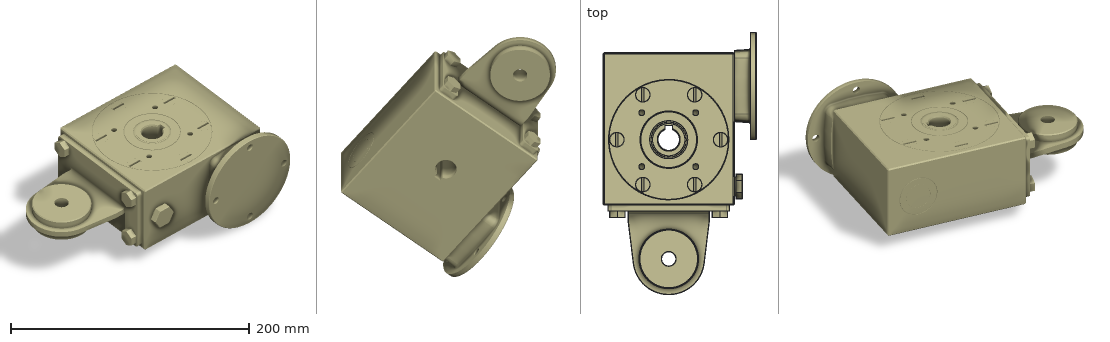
import cadquery as cq
import math


body_half_width = 55.0
body_front_y = -55.0
body_back_y = 73.0
body_height = 65.0
body_top_z = body_height / 2
body_chamfer = 1.0

cover_diameter = 101.0
cover_gap = 0.4
gap_depth = 0.5
screw_count = 6
screw_circle_radius = 43.5
screw_head_diameter = 12.0
screw_recess_diameter = 12.1
screw_slot_width = 2.0
screw_slot_depth = 2.0
tapped_count = 4
tapped_circle_radius = 32.0
tapped_start_angle = 45.0
tapped_diameter = 4.92
tapped_depth = 12.0
drill_point_angle = 118.0

seal_diameter = 48.2
seal_gap = 0.7
shaft_gap_outer = 32.0
shaft_gap_inner = 29.5
shaft_gap_depth = 0.5
shaft_rim_width = 1.2
shaft_rim_depth = 0.25
bore_diameter = 18.0
bore_mouth_width = 0.6
bore_mouth_depth = 1.4
keyway_width = 6.0
keyway_top_y = 11.8

worm_y = 45.0
end_cap_diameter = 35.0
end_cap_gap = 0.5
end_cap_inner_diameter = 22.0
end_cap_inner_gap = 0.1

flange_diameter = 90.0
flange_thickness = 5.0
flange_face_x = 73.5
flange_back_x = flange_face_x - flange_thickness
flange_chamfer = 0.5
flange_hole_count = 4
flange_hole_diameter = 6.5
flange_hole_circle_radius = 37.5

neck_side_reach = 30.05
neck_corner_center = 22.5
neck_corner_radius = 6.0
neck_draft = 4.0
neck_root_fillet = 1.4

plug_y = -39.3
plug_collar_diameter = 16.0
plug_collar_height = 1.5
plug_across_flats = 18.0
plug_head_height = 5.5
plug_chamfer = 0.5

sheet_thickness = 5.0
plate_width = 102.0
plate_height = 58.0
plate_corner_radius = 2.5
plate_face_y = body_front_y - sheet_thickness
window_width = 70.0
bend_inner_radius = 2.0
bend_outer_radius = bend_inner_radius + sheet_thickness
tongue_half_width = 34.0
tongue_taper_y = -69.0
tongue_end_radius = 30.0
eye_y = -100.0
bush_diameter = 50.0
bush_top_z = 9.6
bush_bottom_z = -10.0
bush_chamfer = 0.8
eye_hole_diameter = 12.0

bolt_spacing_x = 86.0
bolt_spacing_z = 42.0
bolt_across_flats = 13.0
bolt_head_height = 5.3

hex_sides = 6


def hex_corner_diameter(across_flats):
    return across_flats / math.cos(math.pi / hex_sides)


def ring_gap(plane, outer_diameter, width, depth):
    """Narrow ring cut below a face; the plane's normal points out of the material."""
    return (
        cq.Workplane(plane)
        .circle(outer_diameter / 2)
        .circle(outer_diameter / 2 - width)
        .extrude(-depth)
    )


def top_plane(x=0.0, y=0.0):
    return cq.Plane(origin=(x, y, body_top_z), xDir=(1, 0, 0), normal=(0, 0, 1))


def x_plane(x, y):
    """Plane facing +X: local x is +Y and local y is +Z."""
    return cq.Plane(origin=(x, y, 0), xDir=(0, 1, 0), normal=(1, 0, 0))


def front_plane(y):
    """Plane facing -Y: local x is +X and local y is +Z."""
    return cq.Plane(origin=(0, y, 0), xDir=(1, 0, 0), normal=(0, -1, 0))


def polar_points(count, radius, start_angle=0.0):
    points = []
    for index in range(count):
        angle = math.radians(start_angle) + 2 * math.pi * index / count
        points.append((radius * math.cos(angle), radius * math.sin(angle)))
    return points


def make_body():
    length = body_back_y - body_front_y
    middle_y = (body_back_y + body_front_y) / 2
    block = cq.Workplane("XY").box(2 * body_half_width, length, body_height)
    return block.edges().chamfer(body_chamfer).translate((0, middle_y, 0))


def cut_cover_details(part):
    part = part.cut(ring_gap(top_plane(), cover_diameter, cover_gap, gap_depth))
    recess_gap = (screw_recess_diameter - screw_head_diameter) / 2
    for x, y in polar_points(screw_count, screw_circle_radius):
        part = part.cut(ring_gap(top_plane(x, y), screw_recess_diameter, recess_gap, gap_depth))
        head = cq.Workplane(top_plane(x, y)).circle(screw_head_diameter / 2).extrude(-screw_slot_depth)
        slot = (
            cq.Workplane(top_plane(x, y))
            .rect(screw_slot_width, screw_head_diameter)
            .extrude(-screw_slot_depth)
        )
        part = part.cut(slot.intersect(head))

    hole_radius = tapped_diameter / 2
    point_length = hole_radius / math.tan(math.radians(drill_point_angle / 2))
    hole = (
        cq.Workplane("XZ")
        .polyline([
            (0, 0),
            (hole_radius, 0),
            (hole_radius, -tapped_depth),
            (0, -tapped_depth - point_length),
        ])
        .close()
        .revolve(360, (0, 0, 0), (0, 1, 0))
    )
    for x, y in polar_points(tapped_count, tapped_circle_radius, tapped_start_angle):
        part = part.cut(hole.translate((x, y, body_top_z)))
    return part


def cut_output_shaft(part):
    shaft_gap = (shaft_gap_outer - shaft_gap_inner) / 2
    part = part.cut(ring_gap(top_plane(), seal_diameter, seal_gap, gap_depth))
    part = part.cut(ring_gap(top_plane(), shaft_gap_outer, shaft_gap, shaft_gap_depth))
    part = part.cut(ring_gap(top_plane(), shaft_gap_inner, shaft_rim_width, shaft_rim_depth))
    bore = cq.Workplane(top_plane()).circle(bore_diameter / 2).extrude(-body_height)
    mouth_angle = math.degrees(math.atan2(bore_mouth_width, bore_mouth_depth))
    mouth = (
        cq.Workplane(top_plane())
        .circle(bore_diameter / 2 + bore_mouth_width)
        .extrude(-bore_mouth_depth, taper=mouth_angle)
    )
    keyway = (
        cq.Workplane(top_plane(0, keyway_top_y / 2))
        .rect(keyway_width, keyway_top_y)
        .extrude(-body_height)
    )
    return part.cut(bore).cut(mouth).cut(keyway)


def cut_end_cap(part):
    face = cq.Plane(origin=(-body_half_width, worm_y, 0), xDir=(0, -1, 0), normal=(-1, 0, 0))
    part = part.cut(ring_gap(face, end_cap_diameter, end_cap_gap, gap_depth))
    return part.cut(ring_gap(face, end_cap_inner_diameter, end_cap_inner_gap, gap_depth))


def make_neck():
    """Drafted neck; offsetting a sharp bulged square rounds its corners tangentially."""
    core_side = neck_side_reach - neck_corner_radius
    corner = neck_corner_center
    return (
        cq.Workplane(x_plane(body_half_width, worm_y))
        .moveTo(-corner, -corner)
        .threePointArc((0, -core_side), (corner, -corner))
        .threePointArc((core_side, 0), (corner, corner))
        .threePointArc((0, core_side), (-corner, corner))
        .threePointArc((-core_side, 0), (-corner, -corner))
        .close()
        .offset2D(neck_corner_radius)
        .extrude(flange_back_x - body_half_width, taper=-neck_draft)
    )


def make_motor_flange():
    disc = (
        cq.Workplane(x_plane(flange_back_x, worm_y))
        .circle(flange_diameter / 2)
        .extrude(flange_thickness)
        .faces(">X")
        .edges()
        .chamfer(flange_chamfer)
    )
    flange = disc.union(make_neck())
    root_edges = cq.selectors.BoxSelector(
        (flange_back_x - neck_root_fillet, worm_y - flange_hole_circle_radius, -flange_hole_circle_radius),
        (flange_back_x + neck_root_fillet, worm_y + flange_hole_circle_radius, flange_hole_circle_radius),
        boundingbox=True,
    )
    flange = flange.edges(root_edges).fillet(neck_root_fillet)
    holes = (
        cq.Workplane(x_plane(flange_back_x, worm_y))
        .pushPoints(polar_points(flange_hole_count, flange_hole_circle_radius))
        .circle(flange_hole_diameter / 2)
        .extrude(flange_thickness)
    )
    return flange.cut(holes)


def make_oil_plug():
    collar = (
        cq.Workplane(x_plane(body_half_width, plug_y))
        .circle(plug_collar_diameter / 2)
        .extrude(plug_collar_height)
    )
    head = (
        cq.Workplane(x_plane(body_half_width + plug_collar_height, plug_y))
        .polygon(hex_sides, hex_corner_diameter(plug_across_flats))
        .extrude(plug_head_height)
        .faces(">X")
        .edges()
        .chamfer(plug_chamfer)
    )
    return collar.union(head)


def make_mounting_plate():
    plate = cq.Workplane(front_plane(body_front_y)).rect(plate_width, plate_height).extrude(sheet_thickness)
    window_top_z = sheet_thickness / 2 + bend_inner_radius
    window_height = window_top_z + plate_height / 2
    window = (
        cq.Workplane(front_plane(body_front_y))
        .center(0, window_top_z - window_height / 2)
        .rect(window_width, window_height)
        .extrude(sheet_thickness)
    )
    return plate.cut(window).edges("|Y").edges("<Z or >Z").fillet(plate_corner_radius)


def make_tongue():
    """Tongue bent out of the plate, widest at the bend and rounded about the eye."""
    half_sheet = sheet_thickness / 2
    bend_top_z = half_sheet + bend_inner_radius
    bend_end_y = body_front_y - bend_outer_radius
    end_y = eye_y - tongue_end_radius
    diagonal = math.sqrt(0.5)
    side_profile = (
        cq.Workplane("YZ")
        .moveTo(body_front_y, bend_top_z)
        .threePointArc(
            (bend_end_y + bend_outer_radius * diagonal, bend_top_z - bend_outer_radius * diagonal),
            (bend_end_y, -half_sheet),
        )
        .lineTo(end_y, -half_sheet)
        .lineTo(end_y, half_sheet)
        .lineTo(bend_end_y, half_sheet)
        .threePointArc(
            (bend_end_y + bend_inner_radius * diagonal, bend_top_z - bend_inner_radius * diagonal),
            (plate_face_y, bend_top_z),
        )
        .close()
        .extrude(tongue_half_width, both=True)
    )

    taper_length = tongue_taper_y - eye_y
    corner_distance = math.hypot(tongue_half_width, taper_length)
    corner_angle = math.atan2(taper_length, tongue_half_width)
    tangent_angle = corner_angle - math.acos(tongue_end_radius / corner_distance)
    tangent_x = tongue_end_radius * math.cos(tangent_angle)
    tangent_y = eye_y + tongue_end_radius * math.sin(tangent_angle)
    outline = (
        cq.Workplane("XY")
        .moveTo(-tongue_half_width, body_front_y)
        .lineTo(-tongue_half_width, tongue_taper_y)
        .lineTo(-tangent_x, tangent_y)
        .threePointArc((0, end_y), (tangent_x, tangent_y))
        .lineTo(tongue_half_width, tongue_taper_y)
        .lineTo(tongue_half_width, body_front_y)
        .close()
        .extrude(bend_outer_radius, both=True)
    )
    return side_profile.intersect(outline)


def make_bush_disc(base_z, top_z):
    return (
        cq.Workplane("XY", origin=(0, eye_y, base_z))
        .circle(bush_diameter / 2)
        .extrude(top_z - base_z)
        .faces(">Z")
        .edges()
        .chamfer(bush_chamfer)
    )


def make_torque_arm():
    arm = make_mounting_plate().union(make_tongue())
    arm = arm.union(make_bush_disc(sheet_thickness / 2, bush_top_z))
    arm = arm.union(make_bush_disc(bush_bottom_z, -sheet_thickness / 2))
    hole = (
        cq.Workplane("XY", origin=(0, eye_y, bush_bottom_z))
        .circle(eye_hole_diameter / 2)
        .extrude(bush_top_z - bush_bottom_z)
    )
    return arm.cut(hole)


def make_bolt_heads():
    heads = cq.Workplane("XY")
    for side_x in (-1, 1):
        for side_z in (-1, 1):
            head = (
                cq.Workplane("XZ")
                .polygon(hex_sides, hex_corner_diameter(bolt_across_flats))
                .extrude(bolt_head_height)
                .rotate((0, 0, 0), (0, 1, 0), 90)
                .translate((side_x * bolt_spacing_x / 2, plate_face_y, side_z * bolt_spacing_z / 2))
            )
            heads = heads.add(head)
    return heads


body = make_body()
body = cut_cover_details(body)
body = cut_output_shaft(body)
body = cut_end_cap(body)

result = (
    body.union(make_motor_flange())
    .union(make_oil_plug())
    .union(make_torque_arm())
    .union(make_bolt_heads())
)